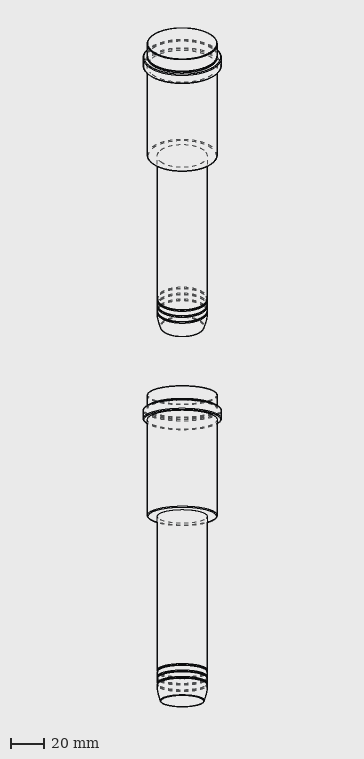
import cadquery as cq

total_length = 190.0
flange_radius = 47.0 / 2
body_radius = 42.0 / 2
shaft_radius = 30.0 / 2
tip_radius = 26.5 / 2

body_bottom = 114.5
flange_bottom = 174.6
flange_top = 180.9
nose_height = 7.5

edge_chamfer = 0.5
top_chamfer = 0.4
tip_chamfer = 0.4

undercut_width = 1.1
undercut_depth = 0.4

groove_count = 3
groove_width = 1.1
groove_depth = 0.4
groove_pitch = 4.0
lowest_groove_center = 10.6

nose_bulge = 0.2


def cylinder(radius, bottom, top):
    """Solid cylinder on the Z axis between two heights."""
    return cq.Workplane("XY").workplane(offset=bottom).circle(radius).extrude(top - bottom)


def ring_groove(radius, depth, bottom, width):
    """Ring-shaped cutter for a V groove in a cylinder."""
    return (
        cq.Workplane("XZ")
        .moveTo(radius, bottom)
        .lineTo(radius - depth, bottom + width / 2)
        .lineTo(radius, bottom + width)
        .close()
        .revolve(360, (0, 0, 0), (0, 1, 0))
    )


def make_shaft():
    """Guide shaft with a curved nose and a chamfered tip."""
    nose_middle = ((shaft_radius + tip_radius) / 2 + nose_bulge, (nose_height + tip_chamfer) / 2)
    return (
        cq.Workplane("XZ")
        .lineTo(tip_radius - tip_chamfer, 0)
        .lineTo(tip_radius, tip_chamfer)
        .threePointArc(nose_middle, (shaft_radius, nose_height))
        .lineTo(shaft_radius, body_bottom)
        .lineTo(0, body_bottom)
        .close()
        .revolve(360, (0, 0, 0), (0, 1, 0))
    )


body = cylinder(body_radius, body_bottom, total_length).faces("<Z").edges().chamfer(edge_chamfer)
undercut = ring_groove(body_radius, undercut_depth, flange_top, undercut_width)
body = body.cut(undercut).faces(">Z").edges().chamfer(top_chamfer)
flange = cylinder(flange_radius, flange_bottom, flange_top).edges().chamfer(edge_chamfer)

result = make_shaft().union(body).union(flange)

for index in range(groove_count):
    groove_bottom = lowest_groove_center + index * groove_pitch - groove_width / 2
    result = result.cut(ring_groove(shaft_radius, groove_depth, groove_bottom, groove_width))